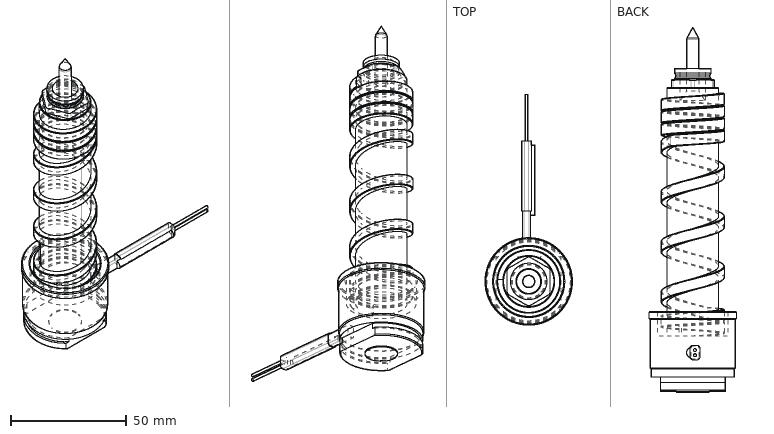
import cadquery as cq
import math

FOOT_RADIUS = 7.1
FOOT_HEIGHT = 0.5
FLANGE_RADIUS = 18.0
FLANGE_TOP = 4.3
FLANGE_CHAMFER = 0.5
GROOVE_RADIUS = 17.1
GROOVE_TOP = 6.6
FLAT_HALF_WIDTH = 14.1
BASE_TOP = 10.1
BODY_RADIUS = 18.5
BODY_BOTTOM = BASE_TOP + BODY_RADIUS - FLANGE_RADIUS
RIM_RADIUS = 19.0
RIM_BOTTOM = 31.6
RIM_TOP = 35.1
RIM_CHAMFER = 0.5

POCKET_RADIUS = 15.2
POCKET_CHAMFER = 0.5
POCKET_FLOOR = 24.5

TUBE_RADIUS = 11.2
TUBE_TOP = 132.1
TUBE_CHAMFER = 0.3
HEX_ACROSS_FLATS = 18.7
HEX_CORNER_ROUNDING = 1.6
HEX_SHOULDER = 135.1
HEX_TOP = 135.7
COLLAR_RADIUS = 7.9
COLLAR_FOOT_TOP = 136.0
COLLAR_NECK_RADIUS = 7.5
COLLAR_NECK_BOTTOM = 136.7
COLLAR_NECK_TOP = 137.5
COLLAR_LIP_BOTTOM = 138.5
COLLAR_TOP = 140.3
BORE_RADIUS = 5.5
BORE_FLOOR = 126.5

NEEDLE_BASE_RADIUS = 5.2
NEEDLE_BASE_HEIGHT = 4.0
NEEDLE_RADIUS = 2.7
NEEDLE_SHOULDER_RADIUS = 2.5
NEEDLE_SHANK_TOP = 152.8
NEEDLE_SHOULDER_TOP = 153.6
NEEDLE_TIP = 158.2

COIL_OUTER_RADIUS = 13.8
COIL_OVERLAP = 0.5
COIL_STRIP_HEIGHT = 5.0
COIL_CHAMFER = 0.3
COIL_TOP_Z = 127.2
COIL_TOP_ANGLE = 176.0
CLOSE_PITCH = 5.4
OPEN_PITCH = 21.7
UPPER_TURNS = 3 + 131 / 360
OPEN_TURNS = 3 + 161 / 360
LOWER_TURNS = 1.5

CABLE_X = -1.0
CABLE_Z = 17.2
CABLE_WIDTH = 3.6
CABLE_HEIGHT = 5.5
CABLE_CORNER_RADIUS = 0.8
CABLE_ROOT_DEPTH = 1.6
SLEEVE_WIDTH = 4.3
SLEEVE_HEIGHT = 6.3
SLEEVE_START_Y = 30.5
SLEEVE_LENGTH = 30.4
SLEEVE_CORNER_RADIUS = 1.3
SIDE_SLEEVE_X = 0.5
SIDE_SLEEVE_RADIUS = 2.2
SIDE_SLEEVE_SHIFT = 1.9
WIRE_RADIUS = 0.6
WIRE_SPACING = 2.2
WIRE_END_Y = 81.0


def disc(radius, bottom, top):
    return cq.Workplane("XY").workplane(offset=bottom).circle(radius).extrude(top - bottom)


def turned(points):
    """Solid of revolution about Z from a closed (radius, height) outline."""
    return cq.Workplane("XZ").polyline(points).close().revolve(360, (0, 0), (0, 1))


def make_housing():
    """Stepped housing with two wrench flats at its foot and a pocket in its top."""
    flange = disc(FLANGE_RADIUS, FOOT_HEIGHT, FLANGE_TOP).faces("<Z").chamfer(FLANGE_CHAMFER)
    groove = disc(GROOVE_RADIUS, FLANGE_TOP, GROOVE_TOP)
    flats = cq.Workplane("XY").box(
        2 * FLAT_HALF_WIDTH, 2 * FLANGE_RADIUS, GROOVE_TOP, centered=(True, True, False)
    )
    lower = flange.union(groove).intersect(flats)

    base_to_rim = turned(
        [
            (0, GROOVE_TOP),
            (FLANGE_RADIUS, GROOVE_TOP),
            (FLANGE_RADIUS, BASE_TOP),
            (BODY_RADIUS, BODY_BOTTOM),
            (BODY_RADIUS, RIM_BOTTOM),
            (RIM_RADIUS, RIM_BOTTOM + RIM_RADIUS - BODY_RADIUS),
            (RIM_RADIUS, RIM_TOP - RIM_CHAMFER),
            (RIM_RADIUS - RIM_CHAMFER, RIM_TOP),
            (POCKET_RADIUS + POCKET_CHAMFER, RIM_TOP),
            (POCKET_RADIUS, RIM_TOP - POCKET_CHAMFER),
            (POCKET_RADIUS, POCKET_FLOOR),
            (0, POCKET_FLOOR),
        ]
    )
    foot = disc(FOOT_RADIUS, 0, FOOT_HEIGHT)
    return base_to_rim.union(lower).union(foot)


def make_tube():
    """Tube with the hexagon and the bored collar on top."""
    tube = disc(TUBE_RADIUS, POCKET_FLOOR, TUBE_TOP).faces(">Z").chamfer(TUBE_CHAMFER)
    corner_radius = HEX_ACROSS_FLATS / math.sqrt(3)
    turned_blank = turned(
        [
            (0, TUBE_TOP),
            (corner_radius, TUBE_TOP),
            (corner_radius, HEX_SHOULDER),
            (COLLAR_RADIUS, HEX_TOP),
            (0, HEX_TOP),
        ]
    )
    hexagon = (
        cq.Workplane("XY")
        .workplane(offset=TUBE_TOP)
        .polygon(6, HEX_ACROSS_FLATS, circumscribed=True)
        .extrude(HEX_TOP - TUBE_TOP)
        .edges("|Z")
        .fillet(HEX_CORNER_ROUNDING)
        .intersect(turned_blank)
    )
    collar = turned(
        [
            (0, HEX_TOP),
            (COLLAR_RADIUS, HEX_TOP),
            (COLLAR_RADIUS, COLLAR_FOOT_TOP),
            (COLLAR_NECK_RADIUS, COLLAR_NECK_BOTTOM),
            (COLLAR_NECK_RADIUS, COLLAR_NECK_TOP),
            (COLLAR_RADIUS, COLLAR_LIP_BOTTOM),
            (COLLAR_RADIUS, COLLAR_TOP),
            (0, COLLAR_TOP),
        ]
    )
    bore = disc(BORE_RADIUS, BORE_FLOOR, COLLAR_TOP)
    return tube.union(hexagon).union(collar).cut(bore)


def make_needle():
    """Pointed rod on a conical base at the bottom of the bore."""
    return turned(
        [
            (0, BORE_FLOOR),
            (NEEDLE_BASE_RADIUS, BORE_FLOOR),
            (NEEDLE_RADIUS, BORE_FLOOR + NEEDLE_BASE_HEIGHT),
            (NEEDLE_RADIUS, NEEDLE_SHANK_TOP),
            (NEEDLE_SHOULDER_RADIUS, NEEDLE_SHOULDER_TOP),
            (0, NEEDLE_TIP),
        ]
    )


def coil_run(bottom_z, bottom_angle, turns, pitch):
    """Right-handed strip climbing the tube from the given height and angle."""
    inner_radius = TUBE_RADIUS - COIL_OVERLAP
    half_height = COIL_STRIP_HEIGHT / 2
    chamfer_start = COIL_OUTER_RADIUS - COIL_CHAMFER
    strip_radius = (inner_radius + COIL_OUTER_RADIUS) / 2
    path = cq.Workplane(cq.Wire.makeHelix(pitch, turns * pitch, strip_radius))
    run = (
        cq.Workplane("XZ")
        .moveTo(inner_radius, -half_height)
        .lineTo(chamfer_start, -half_height)
        .lineTo(COIL_OUTER_RADIUS, COIL_CHAMFER - half_height)
        .lineTo(COIL_OUTER_RADIUS, half_height - COIL_CHAMFER)
        .lineTo(chamfer_start, half_height)
        .lineTo(inner_radius, half_height)
        .close()
        .sweep(path, isFrenet=True)
    )
    return run.rotate((0, 0, 0), (0, 0, 1), bottom_angle).translate((0, 0, bottom_z))


def make_coil():
    """Work down from the upper end, each run starting where the one above stops."""
    coil = cq.Workplane("XY")
    z = COIL_TOP_Z
    angle = COIL_TOP_ANGLE
    for turns, pitch in (
        (UPPER_TURNS, CLOSE_PITCH),
        (OPEN_TURNS, OPEN_PITCH),
        (LOWER_TURNS, CLOSE_PITCH),
    ):
        z -= turns * pitch
        angle -= turns * 360
        coil = coil.union(coil_run(z, angle, turns, pitch))
    return coil


def rounded_bar(width, height, corner_radius, start_y, end_y):
    """Bar along Y, centred on the cable axis, with its long edges rounded."""
    return (
        cq.Workplane("XY")
        .box(width, end_y - start_y, height)
        .edges("|Y")
        .fillet(corner_radius)
        .translate((CABLE_X, (start_y + end_y) / 2, CABLE_Z))
    )


def rod_along_y(x, z, radius, start_y, end_y):
    plane = cq.Plane(origin=(x, start_y, z), xDir=(1, 0, 0), normal=(0, 1, 0))
    return cq.Workplane(plane).circle(radius).extrude(end_y - start_y)


def make_cable():
    """Flat cable, its two sleeves and the two bare wires at its end."""
    sleeve_end = SLEEVE_START_Y + SLEEVE_LENGTH
    cable_start = BODY_RADIUS - CABLE_ROOT_DEPTH
    cable = rounded_bar(
        CABLE_WIDTH, CABLE_HEIGHT, CABLE_CORNER_RADIUS, cable_start, SLEEVE_START_Y
    )
    sleeve = rounded_bar(
        SLEEVE_WIDTH, SLEEVE_HEIGHT, SLEEVE_CORNER_RADIUS, SLEEVE_START_Y, sleeve_end
    )
    side_sleeve = rod_along_y(
        SIDE_SLEEVE_X,
        CABLE_Z,
        SIDE_SLEEVE_RADIUS,
        SLEEVE_START_Y - SIDE_SLEEVE_SHIFT,
        sleeve_end - SIDE_SLEEVE_SHIFT,
    )
    cable = cable.union(sleeve).union(side_sleeve)
    for side in (-1, 1):
        wire_z = CABLE_Z + side * WIRE_SPACING / 2
        cable = cable.union(rod_along_y(CABLE_X, wire_z, WIRE_RADIUS, sleeve_end, WIRE_END_Y))
    return cable


body = make_housing().union(make_tube()).union(make_needle()).union(make_cable())
result = body.union(make_coil())